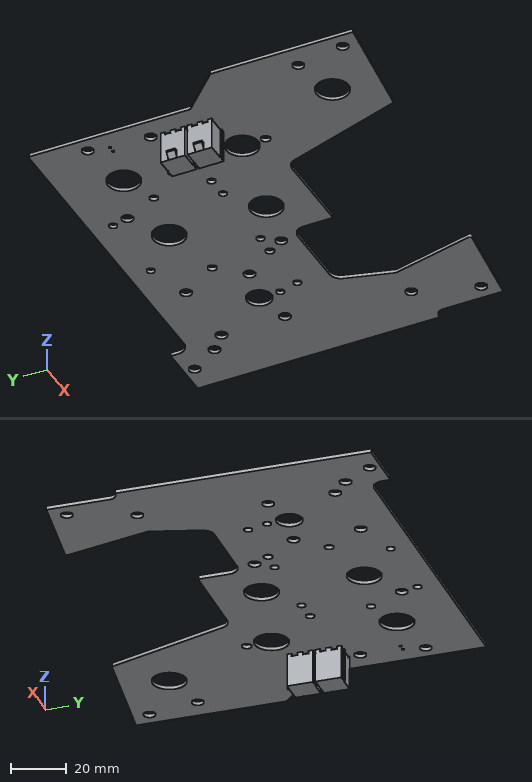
import cadquery as cq


board_length = 168.3
board_width = 145.5
board_thickness = 1.6

tab_left = 146.4
shoulder_y = 138.0
left_edge_x = 16.0
bevel_top_y = 73.0
bevel_bottom_y = bevel_top_y - left_edge_x
left_foot = (44.8, 5.9)
ledge_y = 56.2
ledge_left = 61.1
bay_left = 97.5
bay_right = 131.0
bay_top = 72.5
right_leg_waist = (137.1, 50.8)
right_foot = (129.2, 16.8)
right_leg_x = 164.4
right_leg_near_y = 21.4
notch_y = 48.6

inner_radius = 4.5
notch_radius = 3.4
outer_radius = 0.8
left_foot_radius = 0.5
waist_radius = 1.7

switch_hole_diameter = 12.6
switch_holes = [(44.1, 113.6), (80.8, 113.6), (80.8, 74.7), (44.1, 66.1), (28.0, 22.0)]

encoder_hole_diameter = 9.6
encoder_holes = [(129.0, 101.5)]

screw_hole_diameter = 4.4
screw_pattern_center = (128.9, 110.9)
screw_pattern_pitch = (28.6, 25.4)
screw_holes = [
    (157.3, 141.4), (150.0, 129.7), (65.1, 122.5), (22.2, 117.1), (24.7, 93.2),
    (101.6, 79.1), (150.0, 51.0), (158.2, 27.1), (9.5, 26.6), (6.2, 7.2),
]

locating_hole_diameter = 3.5
locating_holes = [(44.0, 56.7)]

peg_far_y = 108.5
peg_near_y = 85.5
left_peg_diameter = 3.2
left_peg_x = 58.2
right_peg_diameter = 3.4
right_peg_x = 105.3

small_hole_diameter = 3.0
small_holes = [(66.8, 129.0), (97.1, 129.0), (66.8, 85.1), (97.1, 85.1), (126.9, 85.1), (129.0, 93.0)]

lead_hole_diameter = 0.9
lead_holes = [(23.9, 109.0), (26.5, 109.0)]

connector_count = 2
connector_pitch = 10.8
connectors_mid_y = 78.8
housing_left = 24.2
housing_depth = 9.5
housing_width = 9.8
housing_height = 13.0
rib_left = 31.0
rib_width = 1.2
rib_height = 0.5

pin_depth = 0.88
pin_width = 1.06
pin_tip_depth = 0.5
pin_taper_length = 0.8
pin_length = 3.4
pin_hole_diameter = 1.4
pin_pitch = 4.2
pin_column_pitch = 5.4
pin_columns_mid_x = 28.6
pin_columns_x = (pin_columns_mid_x - pin_column_pitch / 2, pin_columns_mid_x + pin_column_pitch / 2)

pocket_width = 2.2
pocket_length = 2.7
pocket_depth = 1.0

groove_width = 7.5
groove_depth = 0.5

latch_width = 3.4
latch_reach = 1.7
latch_height = 3.0
latch_tip_height = 0.7


def connector_center_y(index):
    return connectors_mid_y + (index - (connector_count - 1) / 2) * connector_pitch


def pin_rows_y(center_y):
    return [center_y - pin_pitch / 2, center_y + pin_pitch / 2]


def pin_points(center_y):
    return [(x, y) for x in pin_columns_x for y in pin_rows_y(center_y)]


def round_corners(plate, corners, radius):
    for x, y in corners:
        edge = plate.edges("|Z").edges(cq.selectors.NearestToPointSelector((x, y, board_thickness / 2)))
        plate = plate.newObject(edge.vals()).fillet(radius)
    return plate


def make_plate():
    plate = (
        cq.Workplane("XY")
        .polyline([
            (0, 0), left_foot, (ledge_left, ledge_y), (bay_left, ledge_y),
            (bay_left, bay_top), (bay_right, bay_top), right_leg_waist, right_foot,
            (right_leg_x, right_leg_near_y), (right_leg_x, notch_y), (board_length, notch_y),
            (board_length, board_width), (tab_left, board_width), (tab_left, shoulder_y),
            (left_edge_x, shoulder_y), (left_edge_x, bevel_top_y), (0, bevel_bottom_y),
        ])
        .close()
        .extrude(board_thickness)
    )
    inner_corners = [
        (ledge_left, ledge_y), (bay_left, bay_top), (bay_right, bay_top), (tab_left, shoulder_y),
    ]
    plate = round_corners(plate, inner_corners, inner_radius)
    plate = round_corners(plate, [(right_leg_x, notch_y)], notch_radius)
    plate = round_corners(plate, [right_leg_waist, (left_edge_x, bevel_top_y)], waist_radius)
    plate = round_corners(plate, [right_foot, (bay_left, ledge_y), (left_edge_x, shoulder_y)], outer_radius)
    return round_corners(plate, [left_foot], left_foot_radius)


def drill(plate, points, diameter):
    drills = cq.Workplane("XY").pushPoints(points).circle(diameter / 2).extrude(board_thickness)
    return plate.cut(drills)


def make_board():
    board = make_plate()
    center_x, center_y = screw_pattern_center
    half_x, half_y = (pitch / 2 for pitch in screw_pattern_pitch)
    screw_pattern = [
        (center_x + side * half_x, center_y + end * half_y) for side in (-1, 1) for end in (-1, 1)
    ]
    hole_groups = [
        (switch_holes, switch_hole_diameter),
        (encoder_holes, encoder_hole_diameter),
        (screw_holes + screw_pattern, screw_hole_diameter),
        (locating_holes, locating_hole_diameter),
        ([(left_peg_x, peg_far_y), (left_peg_x, peg_near_y)], left_peg_diameter),
        ([(right_peg_x, peg_far_y), (right_peg_x, peg_near_y)], right_peg_diameter),
        (small_holes, small_hole_diameter),
        (lead_holes, lead_hole_diameter),
    ]
    for index in range(connector_count):
        hole_groups.append((pin_points(connector_center_y(index)), pin_hole_diameter))
    for points, diameter in hole_groups:
        board = drill(board, points, diameter)
    return board


def make_latch(center_y):
    root_x = housing_left
    tip_x = housing_left - latch_reach
    top_z = latch_height - housing_height
    return (
        cq.Workplane("XZ", origin=(0, center_y + latch_width / 2, 0))
        .polyline([
            (root_x, -housing_height), (root_x, top_z), (tip_x, top_z), (tip_x, top_z - latch_tip_height),
        ])
        .close()
        .extrude(latch_width)
    )


def make_housing(center_y):
    center_x = housing_left + housing_depth / 2
    centered_along_y = (False, True, False)
    block = (
        cq.Workplane("XY", origin=(housing_left, center_y, -housing_height))
        .box(housing_depth, housing_width, housing_height, centered=centered_along_y)
    )
    ribs = (
        cq.Workplane("XY", origin=(rib_left, center_y, -housing_height))
        .box(rib_width, housing_width + 2 * rib_height, housing_height, centered=centered_along_y)
    )
    groove = (
        cq.Workplane("XY", origin=(center_x, center_y, -groove_depth))
        .rect(groove_width, connector_pitch)
        .extrude(groove_depth)
    )
    pocket_offset = (housing_depth - pocket_length) / 2
    pockets = (
        cq.Workplane("XY", origin=(center_x, 0, -pocket_depth))
        .pushPoints([(side * pocket_offset, y) for side in (-1, 1) for y in pin_rows_y(center_y)])
        .rect(pocket_length, pocket_width)
        .extrude(pocket_depth)
    )
    return block.union(ribs).cut(groove).cut(pockets).union(make_latch(center_y))


def make_pin(center_x, center_y):
    shoulder_z = pin_length - pin_taper_length
    half_depth = pin_depth / 2
    half_tip = pin_tip_depth / 2
    return (
        cq.Workplane("XZ", origin=(center_x, center_y + pin_width / 2, 0))
        .polyline([
            (-half_depth, -pocket_depth), (half_depth, -pocket_depth), (half_depth, shoulder_z),
            (half_tip, pin_length), (-half_tip, pin_length), (-half_depth, shoulder_z),
        ])
        .close()
        .extrude(pin_width)
    )


def make_connector(center_y):
    connector = make_housing(center_y)
    for pin_x, pin_y in pin_points(center_y):
        connector = connector.union(make_pin(pin_x, pin_y))
    return connector


board = make_board()
connectors = [make_connector(connector_center_y(index)) for index in range(connector_count)]

result = cq.Compound.makeCompound([board.val(), *(connector.val() for connector in connectors)])